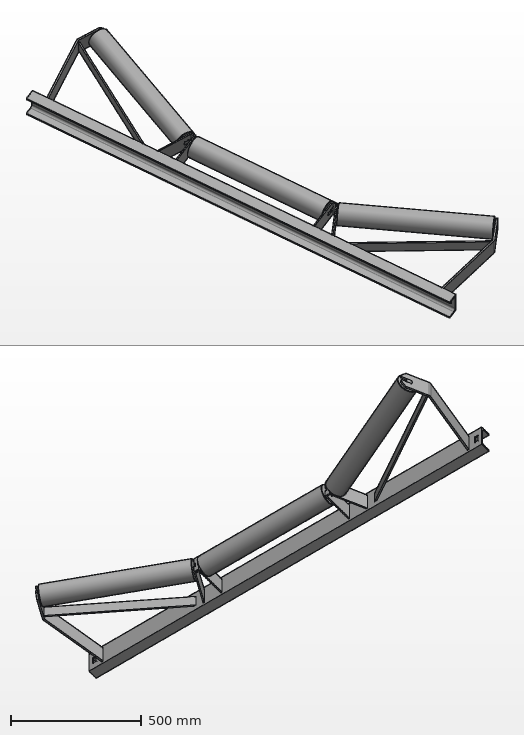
import cadquery as cq
import math


CHANNEL_LENGTH = 1900.0
CHANNEL_HEIGHT = 100.0
FLANGE_WIDTH = 45.0
WEB_THICKNESS = 5.0
FLANGE_THICKNESS = 8.0
ROOT_RADIUS = 10.0
MOUNT_SLOT_X = 923.0
MOUNT_SLOT_WIDTH = 17.0
MOUNT_SLOT_HEIGHT = 30.0

ROLLER_DIAMETER = 90.0
ROLLER_LENGTH = 602.0
RIM_CHAMFER = 2.0
SHAFT_DIAMETER = 25.0
SHAFT_FLAT_WIDTH = 17.0
END_GAP = 4.8
TROUGH_ANGLE = 25.0
CENTER_ROLLER_Y = 120.0
SIDE_ROLLER_X = 615.0
SIDE_ROLLER_Y = 256.0

BRACKET_WIDTH = 76.0
INNER_THICKNESS = 5.0
BRIDGE_TOP_Y = 148.0
OUTER_THICKNESS = 8.0
OUTER_BEND_Y = 308.0
OUTER_BEND_RADIUS = 19.0
OUTER_LEG_LEAN = 9.0
OUTER_TIP_RISE = 35.0
TIP_CHAMFER = 19.0

STRUT_THICKNESS = 6.6
STRUT_WIDTH = 50.0
STRUT_FOOT_X = 431.0
STRUT_TOP_RISE = 10.0

SIN_TROUGH = math.sin(math.radians(TROUGH_ANGLE))
COS_TROUGH = math.cos(math.radians(TROUGH_ANGLE))
TAN_TROUGH = math.tan(math.radians(TROUGH_ANGLE))
COS_LEAN = math.cos(math.radians(OUTER_LEG_LEAN))
TAN_LEAN = math.tan(math.radians(OUTER_LEG_LEAN))
FACE_DISTANCE = ROLLER_LENGTH / 2 + END_GAP
OUTER_FAR = FACE_DISTANCE + OUTER_THICKNESS



def side_point(along, rise):
    """XY point given along the side roller's axis (outward) and square to it (upward)."""
    x = SIDE_ROLLER_X + along * COS_TROUGH - rise * SIN_TROUGH
    y = SIDE_ROLLER_Y + along * SIN_TROUGH + rise * COS_TROUGH
    return x, y


def side_line_at(along, y):
    """XY point at height y on the line that crosses the side roller's axis squarely."""
    axis_x, axis_y = side_point(along, 0)
    return axis_x - (y - axis_y) * TAN_TROUGH, y


def to_side_roller(body):
    """Move a body built around the X axis onto the side roller's axis."""
    return body.rotate((0, 0, 0), (0, 0, 1), TROUGH_ANGLE).translate((SIDE_ROLLER_X, SIDE_ROLLER_Y, 0))


def to_center_roller(body):
    """Move a body built around the X axis onto the centre roller's axis."""
    return body.translate((0, CENTER_ROLLER_Y, 0))


def plate(points, width):
    """Flat or bent plate: its edge outline in XY, with its width centred on Z = 0."""
    return cq.Workplane("XY").polyline(points).close().extrude(width / 2, both=True)


def round_edge(body, point, radius):
    """Round the edge along Z through an XY point."""
    return body.edges(cq.selectors.NearestToPointSelector((*point, 0))).fillet(radius)


def flatted_shaft(start, length):
    """Round shaft on the X axis with two flats that face +Z and -Z."""
    flats = cq.Workplane("YZ", origin=(start, 0, 0)).rect(SHAFT_DIAMETER, SHAFT_FLAT_WIDTH).extrude(length)
    return cq.Workplane("YZ", origin=(start, 0, 0)).circle(SHAFT_DIAMETER / 2).extrude(length).intersect(flats)


def shaft_slot(start, thickness):
    """Cutter for a slot that fits the shaft and is open upwards."""
    opening = (
        cq.Workplane("XY", origin=(start, 0, 0))
        .box(thickness, ROLLER_DIAMETER, SHAFT_FLAT_WIDTH, centered=(False, False, True))
    )
    return flatted_shaft(start, thickness).union(opening)



def make_channel():
    """Channel with its web's outer face on Y = 0 and its flanges pointing to -Y."""
    channel = (
        cq.Workplane("XY", origin=(0, -FLANGE_WIDTH / 2, 0))
        .box(CHANNEL_LENGTH, FLANGE_WIDTH, CHANNEL_HEIGHT)
    )
    hollow = (
        cq.Workplane("XY", origin=(0, -WEB_THICKNESS - FLANGE_WIDTH / 2, 0))
        .box(CHANNEL_LENGTH, FLANGE_WIDTH, CHANNEL_HEIGHT - 2 * FLANGE_THICKNESS)
        .edges("|X and >Y")
        .fillet(ROOT_RADIUS)
    )
    mount_slots = (
        cq.Workplane("XZ")
        .pushPoints([(-MOUNT_SLOT_X, 0), (MOUNT_SLOT_X, 0)])
        .rect(MOUNT_SLOT_WIDTH, MOUNT_SLOT_HEIGHT)
        .extrude(WEB_THICKNESS)
    )
    return channel.cut(hollow).cut(mount_slots)



def make_roller(inner_plate, outer_plate):
    """Roller on the X axis; its shaft ends flush with the far faces of the two plates."""
    shell = (
        cq.Workplane("YZ", origin=(-ROLLER_LENGTH / 2, 0, 0))
        .circle(ROLLER_DIAMETER / 2)
        .extrude(ROLLER_LENGTH)
        .edges("%CIRCLE")
        .chamfer(RIM_CHAMFER)
    )
    shaft_start = -FACE_DISTANCE - inner_plate
    shaft_end = FACE_DISTANCE + outer_plate
    return shell.union(flatted_shaft(shaft_start, shaft_end - shaft_start))



def make_inner_bracket():
    """Upright leg at the centre roller, leaning leg at the side roller and a bridge between them."""
    upright_near = FACE_DISTANCE
    upright_far = upright_near + INNER_THICKNESS
    leaning_near = -FACE_DISTANCE
    leaning_far = leaning_near - INNER_THICKNESS
    bridge_under_y = BRIDGE_TOP_Y - INNER_THICKNESS
    outline = [
        (upright_near, 0),
        (upright_near, BRIDGE_TOP_Y),
        side_line_at(leaning_near, BRIDGE_TOP_Y),
        side_line_at(leaning_near, 0),
        side_line_at(leaning_far, 0),
        side_line_at(leaning_far, bridge_under_y),
        (upright_far, bridge_under_y),
        (upright_far, 0),
    ]
    center_slot = to_center_roller(shaft_slot(upright_near, INNER_THICKNESS))
    side_slot = to_side_roller(shaft_slot(leaning_far, INNER_THICKNESS))
    return plate(outline, BRACKET_WIDTH).cut(center_slot).cut(side_slot)



def outer_leg_far_side():
    """Foot and bend of the outer bracket's leg on the side away from the rollers."""
    bend = side_line_at(OUTER_FAR, OUTER_BEND_Y)
    foot = (bend[0] - OUTER_BEND_Y * TAN_LEAN, 0)
    return foot, bend


def outer_leg_near_side():
    """Foot and bend of the outer bracket's leg on the side that faces the rollers."""
    foot_x = outer_leg_far_side()[0][0] - OUTER_THICKNESS / COS_LEAN
    upper_line_x = side_line_at(FACE_DISTANCE, 0)[0]
    bend_y = (upper_line_x - foot_x) / (TAN_LEAN + TAN_TROUGH)
    return (foot_x, 0), (foot_x + bend_y * TAN_LEAN, bend_y)


def make_outer_bracket():
    """Leg that leans outward, then bends inward to lie square to the side roller's axis."""
    foot_far, bend_far = outer_leg_far_side()
    foot_near, bend_near = outer_leg_near_side()
    tip_near = side_point(FACE_DISTANCE, OUTER_TIP_RISE)
    tip_far = side_point(OUTER_FAR, OUTER_TIP_RISE)
    bracket = plate([foot_near, bend_near, tip_near, tip_far, bend_far, foot_far], BRACKET_WIDTH)
    bracket = round_edge(bracket, bend_far, OUTER_BEND_RADIUS)
    bracket = round_edge(bracket, bend_near, OUTER_BEND_RADIUS - OUTER_THICKNESS)

    half_width = BRACKET_WIDTH / 2
    tip_corner = to_side_roller(
        cq.Workplane("YZ", origin=(FACE_DISTANCE, 0, 0))
        .polyline([
            (OUTER_TIP_RISE, half_width),
            (OUTER_TIP_RISE, half_width - TIP_CHAMFER),
            (OUTER_TIP_RISE - TIP_CHAMFER, half_width),
        ])
        .close()
        .extrude(OUTER_THICKNESS)
    )
    bracket = bracket.cut(tip_corner).cut(tip_corner.mirror("XY"))
    return bracket.cut(to_side_roller(shaft_slot(FACE_DISTANCE, OUTER_THICKNESS)))



def make_strut(outer_bracket):
    """Flat bar from the channel web to the inside of the outer bracket's bend, trimmed to fit it."""
    bend_x, bend_y = outer_leg_near_side()[1]
    top_x = bend_x + OUTER_THICKNESS / 2
    top_y = bend_y + STRUT_TOP_RISE
    slope = math.atan2(top_y, top_x - STRUT_FOOT_X)
    outline = [
        (STRUT_FOOT_X, 0),
        (top_x, top_y),
        (top_x, top_y - STRUT_THICKNESS / math.cos(slope)),
        (STRUT_FOOT_X + STRUT_THICKNESS / math.sin(slope), 0),
    ]
    return plate(outline, STRUT_WIDTH).cut(outer_bracket)



channel = make_channel()
center_roller = to_center_roller(make_roller(INNER_THICKNESS, INNER_THICKNESS))
side_roller = to_side_roller(make_roller(INNER_THICKNESS, OUTER_THICKNESS))
inner_bracket = make_inner_bracket()
outer_bracket = make_outer_bracket()
strut = make_strut(outer_bracket)

bodies = [channel.val(), center_roller.val()]
for side_part in (side_roller, inner_bracket, outer_bracket, strut):
    bodies.append(side_part.val())
    bodies.append(side_part.mirror("YZ").val())

result = cq.Compound.makeCompound(bodies)